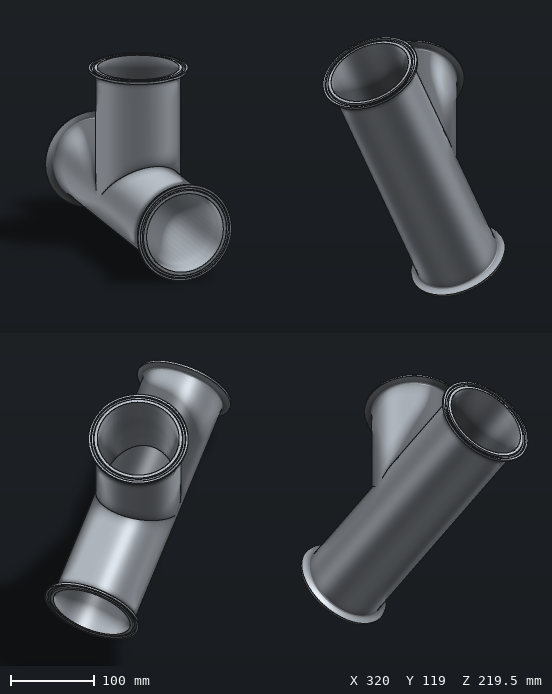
import cadquery as cq

run_length = 320.0
flange_diameter = 119.0
tube_diameter = 101.5
bore_diameter = 97.5
overall_height = 219.5

rim_thickness = 3.0
flange_thickness = 6.0
root_fillet_radius = 2.0

groove_mean_radius = 54.7
groove_mouth_width = 4.0
groove_floor_width = 2.2
groove_depth = 1.5

flange_radius = flange_diameter / 2
tube_radius = tube_diameter / 2
bore_radius = bore_diameter / 2
half_run = run_length / 2
branch_length = overall_height - flange_radius


def outer_arm(length):
    """Solid tube along +Z from the origin, with a grooved clamp flange at its far end."""
    arm = (
        cq.Workplane("XZ")
        .moveTo(0, 0)
        .lineTo(tube_radius, 0)
        .lineTo(tube_radius, length - flange_thickness)
        .lineTo(flange_radius, length - rim_thickness)
        .lineTo(flange_radius, length)
        .lineTo(0, length)
        .close()
        .revolve(360, (0, 0, 0), (0, 1, 0))
    )
    flange_root = cq.selectors.NearestToPointSelector((0, 0, length - flange_thickness))
    arm = arm.edges("%CIRCLE").edges(flange_root).fillet(root_fillet_radius)
    groove = (
        cq.Workplane("XZ")
        .moveTo(groove_mean_radius - groove_mouth_width / 2, length)
        .lineTo(groove_mean_radius - groove_floor_width / 2, length - groove_depth)
        .lineTo(groove_mean_radius + groove_floor_width / 2, length - groove_depth)
        .lineTo(groove_mean_radius + groove_mouth_width / 2, length)
        .close()
        .revolve(360, (0, 0, 0), (0, 1, 0))
    )
    return arm.cut(groove)


def along_x(arm, direction):
    """Turn an arm from +Z to the +X (direction 1) or -X (direction -1) axis."""
    return arm.rotate((0, 0, 0), (0, 1, 0), 90 * direction)


run_arm = outer_arm(half_run)
body = along_x(run_arm, 1).union(along_x(run_arm, -1)).union(outer_arm(branch_length))

run_bore = cq.Workplane("YZ").circle(bore_radius).extrude(half_run, both=True)
branch_bore = cq.Workplane("XY").circle(bore_radius).extrude(branch_length)

result = body.cut(run_bore.union(branch_bore)).clean()